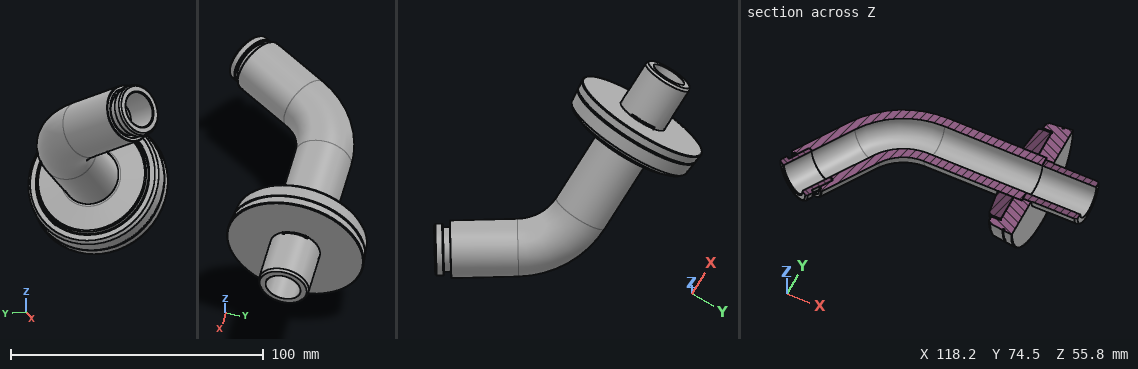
import cadquery as cq
import math


ARM_RADIUS = 11.5
BORE_RADIUS = 7.1
BEND_START_X = -46.7
BEND_RADIUS = 30.0
BEND_ANGLE = 57
SPOUT_LENGTH = 26.7
ARM_EDGE_CHAMFER = 0.2
MOUTH_RECESS_RADIUS = 10.0
MOUTH_RECESS_DEPTH = 0.8
ARM_BACK_X = -3.5

NECK_RADIUS = 8.9
NOZZLE_INSERTION = 6.9
LIP_START = 2.6
LIP_END = 6.3
LIP_RADIUS = 10.3
LIP_BACK_CHAMFER = 0.5
LIP_FRONT_CHAMFER = 0.7
NOZZLE_BORE_CHAMFER = 0.4

COLLAR_FRONT_X = -14.2
COLLAR_FRONT_RADIUS = 12.3
COLLAR_CONE_END_X = -12.9
COLLAR_CONE_END_RADIUS = 21.9
COLLAR_RIM_RADIUS = 22.5
COLLAR_RIM_CHAMFER_DEPTH = 0.4
COLLAR_OUTER_RADIUS = 23.0
COLLAR_SEAT_RADIUS = 23.4
COLLAR_BACK_X = -7.1

FLANGE_FRONT_X = -11.2
FLANGE_FACE_RADIUS = 25.7
FLANGE_SHOULDER_X = -9.9
FLANGE_SHOULDER_RADIUS = 26.9
FLANGE_BACK_RADIUS = 27.9
FLANGE_BACK_CHAMFER = 0.4
GROOVE_FRONT_X = -4.4
GROOVE_BACK_X = -3.8
GROOVE_BOTTOM_RADIUS = 26.9

NIPPLE_RADIUS = 10.2
NIPPLE_END_X = 20.1
NIPPLE_END_CHAMFER_LENGTH = 1.2
NIPPLE_END_RADIUS = 9.6
FLAT_HEIGHT = 8.8
FLAT_END_X = 0.7

bend_rad = math.radians(BEND_ANGLE)
spout_direction = (-math.cos(bend_rad), -math.sin(bend_rad), 0)
bend_end = (
    BEND_START_X - BEND_RADIUS * math.sin(bend_rad),
    -BEND_RADIUS * (1 - math.cos(bend_rad)),
)
mouth = (
    bend_end[0] + SPOUT_LENGTH * spout_direction[0],
    bend_end[1] + SPOUT_LENGTH * spout_direction[1],
    0,
)
mouth_plane = cq.Plane(origin=mouth, xDir=(0, 0, 1), normal=spout_direction)


def revolve_about_x(points):
    """Turn an outline of (x, radius) points about the X axis."""
    return cq.Workplane("XY").polyline(points).close().revolve(360, (0, 0, 0), (1, 0, 0))


def sweep_arm(radius):
    """Round bar along the arm's centre line: straight, bend, straight."""
    half_angle = bend_rad / 2
    bend_middle = (
        BEND_START_X - BEND_RADIUS * math.sin(half_angle),
        -BEND_RADIUS * (1 - math.cos(half_angle)),
    )
    path = (
        cq.Workplane("XY")
        .moveTo(ARM_BACK_X, 0)
        .lineTo(BEND_START_X, 0)
        .threePointArc(bend_middle, bend_end)
        .lineTo(mouth[0], mouth[1])
    )
    return cq.Workplane("YZ", origin=(ARM_BACK_X, 0, 0)).circle(radius).sweep(path)


def make_arm():
    """Bent tube with a socket for the nozzle in its mouth."""
    solid_arm = sweep_arm(ARM_RADIUS).faces(cq.selectors.NearestToPointSelector(mouth))
    arm = solid_arm.chamfer(ARM_EDGE_CHAMFER).cut(sweep_arm(BORE_RADIUS))
    socket = cq.Workplane(mouth_plane).circle(NECK_RADIUS).extrude(-NOZZLE_INSERTION)
    recess = cq.Workplane(mouth_plane).circle(MOUTH_RECESS_RADIUS).extrude(-MOUTH_RECESS_DEPTH)
    return arm.cut(socket).cut(recess)


def make_nozzle():
    """Sleeve with a narrow neck and a chamfered lip at its outer end."""
    outline = [
        (BORE_RADIUS, -NOZZLE_INSERTION),
        (NECK_RADIUS, -NOZZLE_INSERTION),
        (NECK_RADIUS, LIP_START),
        (LIP_RADIUS - LIP_BACK_CHAMFER, LIP_START),
        (LIP_RADIUS, LIP_START + LIP_BACK_CHAMFER),
        (LIP_RADIUS, LIP_END - LIP_FRONT_CHAMFER),
        (LIP_RADIUS - LIP_FRONT_CHAMFER, LIP_END),
        (BORE_RADIUS + NOZZLE_BORE_CHAMFER, LIP_END),
        (BORE_RADIUS, LIP_END - NOZZLE_BORE_CHAMFER),
    ]
    profile_plane = cq.Plane(origin=mouth, xDir=(0, 0, 1), normal=mouth_plane.yDir.multiply(-1))
    return (
        cq.Workplane(profile_plane)
        .polyline(outline)
        .close()
        .revolve(360, (0, 0, 0), (0, 1, 0))
    )


def make_collar():
    """Conical cover ring around the arm, with a flared rim."""
    return revolve_about_x([
        (COLLAR_FRONT_X, ARM_RADIUS),
        (COLLAR_FRONT_X, COLLAR_FRONT_RADIUS),
        (COLLAR_CONE_END_X, COLLAR_CONE_END_RADIUS),
        (COLLAR_CONE_END_X + COLLAR_RIM_CHAMFER_DEPTH, COLLAR_RIM_RADIUS),
        (FLANGE_FRONT_X, COLLAR_OUTER_RADIUS),
        (COLLAR_BACK_X, COLLAR_OUTER_RADIUS),
        (COLLAR_BACK_X, ARM_RADIUS),
    ])


def make_flange():
    """Tapered wall flange with a seat for the collar and a groove around its side."""
    body = revolve_about_x([
        (FLANGE_FRONT_X, COLLAR_SEAT_RADIUS),
        (FLANGE_FRONT_X, FLANGE_FACE_RADIUS),
        (FLANGE_SHOULDER_X, FLANGE_SHOULDER_RADIUS),
        (-FLANGE_BACK_CHAMFER, FLANGE_BACK_RADIUS),
        (0, FLANGE_BACK_RADIUS - FLANGE_BACK_CHAMFER),
        (0, NIPPLE_RADIUS),
        (ARM_BACK_X, NIPPLE_RADIUS),
        (ARM_BACK_X, ARM_RADIUS),
        (COLLAR_BACK_X, ARM_RADIUS),
        (COLLAR_BACK_X, COLLAR_SEAT_RADIUS),
    ])
    groove = revolve_about_x([
        (GROOVE_FRONT_X, GROOVE_BOTTOM_RADIUS),
        (GROOVE_FRONT_X, FLANGE_BACK_RADIUS),
        (GROOVE_BACK_X, FLANGE_BACK_RADIUS),
        (GROOVE_BACK_X, GROOVE_BOTTOM_RADIUS),
    ])
    return body.cut(groove)


def make_nipple():
    """Tube behind the arm, with a short flat above and below next to the wall."""
    nipple = revolve_about_x([
        (ARM_BACK_X, BORE_RADIUS),
        (ARM_BACK_X, NIPPLE_RADIUS),
        (NIPPLE_END_X - NIPPLE_END_CHAMFER_LENGTH, NIPPLE_RADIUS),
        (NIPPLE_END_X, NIPPLE_END_RADIUS),
        (NIPPLE_END_X, BORE_RADIUS),
    ])
    for side in (-1, 1):
        flat_cutter = cq.Workplane("XY", origin=(0, 0, side * FLAT_HEIGHT)).rect(
            2 * FLAT_END_X, 2 * NIPPLE_RADIUS
        ).extrude(side * NIPPLE_RADIUS)
        nipple = nipple.cut(flat_cutter)
    return nipple


arm = make_arm()
nozzle = make_nozzle()
collar = make_collar()
flange = make_flange()
nipple = make_nipple()

result = cq.Compound.makeCompound([
    arm.val(),
    nozzle.val(),
    collar.val(),
    flange.val(),
    nipple.val(),
])